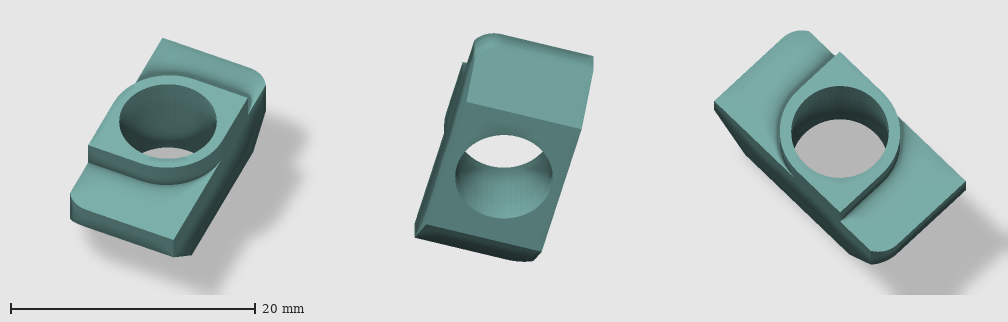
import cadquery as cq
import math

width = 9.8
length = 19.4
total_height = 8.0
base_height = 5.8
bevel = 3.6
collar_radius = 5.0
bore_diameter = 8.0
corner_radius = 2.23
corner_run = 1.94

half_width = width / 2
half_length = length / 2


def make_base():
    """Side profile bevelled at both ends, extruded across the width."""
    profile = [
        (-half_length + bevel, 0),
        (half_length - bevel, 0),
        (half_length, bevel),
        (half_length, base_height),
        (-half_length, base_height),
        (-half_length, bevel),
    ]
    block = cq.Workplane("YZ").polyline(profile).close().extrude(half_width, both=True)
    return block.intersect(make_plan())


def make_plan():
    """Plan outline whose corner arcs are tangent to the end faces and cut by the sides."""
    arc_x = half_width - corner_run
    arc_y = half_length - corner_radius
    mid_angle = (math.pi / 2 + math.acos(corner_run / corner_radius)) / 2
    mid_x = arc_x + corner_radius * math.cos(mid_angle)
    mid_y = arc_y + corner_radius * math.sin(mid_angle)
    side_y = arc_y + math.sqrt(corner_radius**2 - corner_run**2)
    return (
        cq.Workplane("XY")
        .moveTo(-half_width, half_length)
        .lineTo(arc_x, half_length)
        .threePointArc((mid_x, mid_y), (half_width, side_y))
        .lineTo(half_width, -half_length)
        .lineTo(-arc_x, -half_length)
        .threePointArc((-mid_x, -mid_y), (-half_width, -side_y))
        .close()
        .extrude(base_height)
    )


def make_collar():
    """Raised collar with two square corners and two quarter-round corners."""
    arc_end_x = half_width - collar_radius
    return (
        cq.Workplane("XY")
        .moveTo(-half_width, -collar_radius)
        .lineTo(-half_width, 0)
        .radiusArc((-arc_end_x, collar_radius), collar_radius)
        .lineTo(half_width, collar_radius)
        .lineTo(half_width, 0)
        .radiusArc((arc_end_x, -collar_radius), collar_radius)
        .close()
        .extrude(total_height)
    )


bore = cq.Workplane("XY").circle(bore_diameter / 2).extrude(total_height)
result = make_base().union(make_collar()).cut(bore)